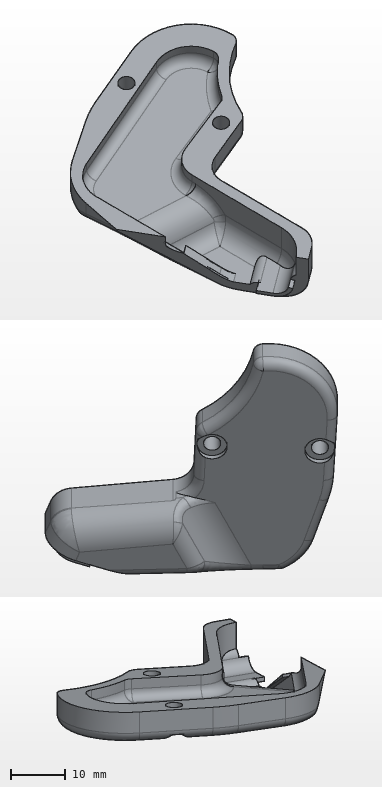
import cadquery as cq
import math

shell_depth = 5.95
spout_depth = 12.0
pocket_depth = 3.95
channel_depth = 9.9
shell_fillet = 1.9
pocket_fillet = 2.0
spout_fillet = spout_depth - shell_depth - 0.05
channel_fillet = 3.95

mouth_start = (33.55, 0.65)
mouth_end = (60.65, 24.6)
mouth_dx = mouth_end[0] - mouth_start[0]
mouth_dy = mouth_end[1] - mouth_start[1]
mouth_length = math.hypot(mouth_dx, mouth_dy)
along = (mouth_dx / mouth_length, mouth_dy / mouth_length)
outward = (along[1], -along[0])

lobe_center = (12.6, 33.85)
lobe_radius = 12.6
lobe_pocket_radius = 7.3
lobe_start = 204.5
lobe_middle = 150
shell_tip_angle = 99.4
pocket_tip_angle = 97.5
outer_end_corner = (56.75, 29.0)
outer_end_radius = 4.55

spout_angle = 15.4
spout_facing = (-math.sin(math.radians(spout_angle)), math.cos(math.radians(spout_angle)))
channel_slope = (spout_angle, 1.5)
outer_slope = (20.0, 1.52)
outer_slope_foot = 21.0
pocket_low_end = 9.3
channel_slope_foot = 22.1
step_tilt = 3.4
step_y = 8.5
outer_step_start, outer_step_end, outer_step_radius = 28.4, 37.55, 6.7
inner_step_start, inner_step_end, inner_step_radius = 31.7, 41.2, 6.3

hole_centers = [(24.8, 31.55), (6.7, 23.35)]
hole_diameter = 3.15
head_diameter = 5.6
head_seat_depth = 4.9

channel_wall = 33.85
lip_reach = 2.0
lip_thickness = 1.0
lip_clearance = 0.1
lip_radius = channel_fillet - lip_thickness
lip_floor_end = 26.75
lip_end_angle = -12
lip_mid_angle = (lip_end_angle - 90) / 2
pad_length = 7.9
pad_floor_end = 25.2
pad_round_run = 1.95
pad_round_mid = (25.95, 0.7 - channel_depth)
pad_wall_end = -5.1

seat_top = (12.7, -3.95)
seat_bend = (19.4, -8.75)
seat_toe = channel_slope_foot
seat_room = 2.4

overlap = 0.6
pocket_overrun = 2.4
plan_tolerance = 0.05
reach = 121.3


def round_upright(body, corner, radius):
    """Round the upright edge at a plan corner."""
    x, y = corner
    low = (x - plan_tolerance, y - plan_tolerance, -reach)
    high = (x + plan_tolerance, y + plan_tolerance, reach)
    nearby = cq.selectors.BoxSelector(low, high)
    return body.edges("|Z").edges(nearby).fillet(radius)


def rounded_prism(outline, depth, corner_radii):
    """Prism below Z = 0 whose upright edges at the given corners are rounded."""
    body = outline.close().extrude(-depth)
    for corner, radius in corner_radii:
        body = round_upright(body, corner, radius)
    return body


def lobe_point(radius, degrees):
    """Plan point on a circle about the lobe centre."""
    angle = math.radians(degrees)
    return (lobe_center[0] + radius * math.cos(angle), lobe_center[1] + radius * math.sin(angle))


def shell_prism(depth):
    tip = lobe_point(lobe_radius, shell_tip_angle)
    heel, bend = (19.15, -0.5), (7.9, 13.75)
    neck_middle, shoulder, elbow = (17.35, 39.1), (26.2, 35.9), (32.25, 22.2)
    outline = (
        cq.Workplane("XY")
        .moveTo(*mouth_start)
        .lineTo(*heel)
        .lineTo(*bend)
        .lineTo(*lobe_point(lobe_radius, lobe_start))
        .threePointArc(lobe_point(lobe_radius, lobe_middle), tip)
        .threePointArc(neck_middle, shoulder)
        .lineTo(*elbow)
        .lineTo(*outer_end_corner)
        .lineTo(*mouth_end)
    )
    corner_radii = [
        (heel, 11.2),
        (bend, 20.6),
        (tip, 1.95),
        (shoulder, 2.4),
        (elbow, 4.35),
        (outer_end_corner, outer_end_radius),
    ]
    return rounded_prism(outline, depth, corner_radii)


def pocket_prism(depth):
    """The pocket runs past the mouth plane so that the mouth is open."""
    low_x, low_y = along_mouth(pocket_low_end)
    high_x, high_y = along_mouth(channel_wall)
    low_end = (low_x + pocket_overrun * spout_facing[1], low_y - pocket_overrun * spout_facing[0])
    high_end = (high_x + pocket_overrun * outward[0], high_y + pocket_overrun * outward[1])
    heel, tip = (19.9, 1.05), lobe_point(lobe_pocket_radius, pocket_tip_angle)
    neck_middle, shoulder = (15.65, 37.6), (20.4, 35.3)
    elbow, end_corner = (27.5, 18.55), (55.9, 26.4)
    outline = (
        cq.Workplane("XY")
        .moveTo(*low_end)
        .lineTo(*heel)
        .lineTo(*lobe_point(lobe_pocket_radius, lobe_start))
        .threePointArc(lobe_point(lobe_pocket_radius, lobe_middle), tip)
        .threePointArc(neck_middle, shoulder)
        .lineTo(*elbow)
        .lineTo(*end_corner)
        .lineTo(*high_end)
    )
    corner_radii = [(heel, 6.3), (tip, 2.05), (shoulder, 2.05), (elbow, 4.85), (end_corner, 7.1)]
    return rounded_prism(outline, depth, corner_radii)


def mouth_plane():
    """Local X runs along the mouth, local Y is up, the normal points out of the mouth."""
    return cq.Workplane(cq.Plane((*mouth_start, 0), (*along, 0), (*outward, 0)))


def along_mouth(distance):
    """Plan point at a distance along the mouth."""
    return (mouth_start[0] + distance * along[0], mouth_start[1] + distance * along[1])


def slope_normal(slope):
    angle = math.radians(slope[0])
    return (-slope[1] * math.sin(angle), slope[1] * math.cos(angle), 1)


def above_slope(slope, foot, depth):
    """Everything on the upper side of the sloped plane through the foot point."""
    angle = math.radians(slope[0])
    foot_point = (*along_mouth(foot), -depth)
    run = (math.cos(angle), math.sin(angle), 0)
    return cq.Workplane(cq.Plane(foot_point, run, slope_normal(slope))).rect(reach, reach).extrude(reach)


def slope_faces(body, slope):
    return body.faces(cq.selectors.ParallelDirSelector(cq.Vector(*slope_normal(slope))))


def above_step(start, end, high, low, high_radius):
    """Everything right of and above an S-shaped step of two tangent arcs."""
    length = end - start
    drop = low - high
    turn = 2 * math.atan2(drop, length)
    low_radius = length / math.sin(turn) - high_radius
    half = turn / 2
    high_mid = (start + high_radius * math.sin(half), -high - high_radius * (1 - math.cos(half)))
    joint = (start + high_radius * math.sin(turn), -high - high_radius * (1 - math.cos(turn)))
    low_mid = (end - low_radius * math.sin(half), -low + low_radius * (1 - math.cos(half)))
    return (
        cq.Workplane("XZ")
        .moveTo(start, 0)
        .lineTo(start, -high)
        .threePointArc(high_mid, joint)
        .threePointArc(low_mid, (end, -low))
        .lineTo(reach, -low)
        .lineTo(reach, 0)
        .close()
        .extrude(reach, both=True)
        .rotate((start, step_y, 0), (start, step_y, 1), -step_tilt)
    )


def plan_middle(edge):
    return edge.positionAt(0.5).toTuple()[:2]


def bottom_fillet(body, radius, wanted):
    """Round the bottom edges whose middle point passes the test."""
    return body.faces("<Z").edges().filter(lambda edge: wanted(*plan_middle(edge))).fillet(radius)


def mouth_distance(x, y):
    """Plan distance in front of the mouth plane."""
    return (x - mouth_start[0]) * outward[0] + (y - mouth_start[1]) * outward[1]


def inside_wall(corner, facing):
    """Everything behind an upright wall through a corner, its bottom edge rounded."""
    wall = cq.Plane((*corner, 0), (*facing, 0), (facing[1], -facing[0], 0))
    return (
        cq.Workplane(wall)
        .lineTo(0, spout_fillet - spout_depth)
        .tangentArcPoint((-spout_fillet, -spout_depth), relative=False)
        .lineTo(-reach, -spout_depth)
        .lineTo(-reach, 0)
        .close()
        .extrude(reach, both=True)
    )


def spout():
    left = outer_step_start - overlap
    outline = (
        cq.Workplane("XY")
        .moveTo(*mouth_start)
        .lineTo(left, mouth_start[1])
        .lineTo(left, outer_end_corner[1])
        .lineTo(*outer_end_corner)
        .lineTo(*mouth_end)
    )
    body = outline.close().extrude(-spout_depth)
    body = body.intersect(inside_wall(outer_end_corner, spout_facing))
    body = body.intersect(inside_wall(mouth_end, along))
    body = round_upright(body, outer_end_corner, outer_end_radius)
    step = above_step(outer_step_start, outer_step_end, shell_depth, spout_depth, outer_step_radius)
    body = body.intersect(step)
    step_rim = body.edges("%BSPLINE").filter(lambda edge: edge.Center().x < outer_step_end)
    return step_rim.fillet(shell_fillet).intersect(shell_prism(spout_depth))


def outer_body():
    shell = shell_prism(shell_depth)
    shell = bottom_fillet(shell, shell_fillet, lambda x, y: mouth_distance(x, y) < -plan_tolerance)
    body = shell.union(spout()).intersect(above_slope(outer_slope, outer_slope_foot, spout_depth))
    slope_edges = (
        slope_faces(body, outer_slope).edges()
        .filter(lambda edge: mouth_distance(*plan_middle(edge)) < -plan_tolerance)
    )
    return slope_edges.fillet(shell_fillet)


def channel():
    body = pocket_prism(channel_depth)
    wall_start_x, wall_start_y = 33.35, 18.2
    body = bottom_fillet(
        body,
        channel_fillet,
        lambda x, y: x > wall_start_x and y > wall_start_y and mouth_distance(x, y) < overlap,
    )
    step = above_step(inner_step_start, inner_step_end, pocket_depth, channel_depth, inner_step_radius)
    body = body.intersect(step).intersect(above_slope(channel_slope, channel_slope_foot, channel_depth))
    step_rim = body.edges("%BSPLINE").filter(lambda edge: edge.Center().x < inner_step_end)
    return step_rim.fillet(pocket_fillet)


def pocket():
    body = pocket_prism(pocket_depth)
    return bottom_fillet(body, pocket_fillet, lambda x, y: mouth_distance(x, y) < overlap)


def channel_corner(radius, degrees):
    """Mouth point on an arc about the centre of the rounding between channel floor and wall."""
    angle = math.radians(degrees)
    center = (channel_wall - channel_fillet, channel_fillet - channel_depth)
    return (center[0] + radius * math.cos(angle), center[1] + radius * math.sin(angle))


def mouth_slab(profile, back, front):
    """Extrude a mouth profile from behind the mouth plane to in front of it."""
    return profile.extrude(front + back).translate((-back * outward[0], -back * outward[1], 0))


def pad():
    """Raised layer on the channel floor and wall with rounded ends."""
    layer_top = lip_thickness - channel_depth
    buried = channel_depth + overlap
    profile = (
        mouth_plane()
        .moveTo(channel_wall + overlap, pad_wall_end)
        .lineTo(channel_wall + overlap, -buried)
        .lineTo(pad_floor_end, -buried)
        .lineTo(pad_floor_end, -channel_depth)
        .threePointArc(pad_round_mid, (pad_floor_end + pad_round_run, layer_top))
        .lineTo(*channel_corner(lip_radius, -90))
        .threePointArc(channel_corner(lip_radius, lip_mid_angle), channel_corner(lip_radius, lip_end_angle))
        .tangentArcPoint((channel_wall, pad_wall_end), relative=False)
        .close()
    )
    return mouth_slab(profile, pad_length, 0)


def lip():
    """Tongue that carries the pad on past the mouth, clear of the floor and wall."""
    outer_radius = channel_fillet - lip_clearance
    outer_middle = channel_corner(outer_radius, lip_mid_angle)
    outer_end = channel_corner(outer_radius, lip_end_angle)
    profile = (
        mouth_plane()
        .moveTo(lip_floor_end, lip_clearance - channel_depth)
        .lineTo(*channel_corner(outer_radius, -90))
        .threePointArc(outer_middle, outer_end)
        .lineTo(*channel_corner(lip_radius, lip_end_angle))
        .threePointArc(channel_corner(lip_radius, lip_mid_angle), channel_corner(lip_radius, -90))
        .lineTo(lip_floor_end, lip_thickness - channel_depth)
        .close()
    )
    return mouth_slab(profile, overlap, lip_reach)


def seat_profile(height):
    """Mouth profile from the seat surface up, or down for a negative height."""
    return (
        mouth_plane()
        .moveTo(seat_top[0], seat_top[1] + height)
        .lineTo(*seat_top)
        .lineTo(*seat_bend)
        .tangentArcPoint((seat_toe, -channel_depth), relative=False)
        .lineTo(seat_toe, height - channel_depth)
        .close()
    )


def screw_holes():
    holes = cq.Workplane("XY").pushPoints(hole_centers).circle(hole_diameter / 2).extrude(-shell_depth)
    heads = (
        cq.Workplane("XY", origin=(0, 0, -head_seat_depth))
        .pushPoints(hole_centers)
        .circle(head_diameter / 2)
        .extrude(-shell_depth)
    )
    return holes.union(heads)


outer = outer_body()
result = outer.cut(pocket()).cut(channel())
result = result.union(pad().intersect(outer)).union(lip())
result = result.cut(mouth_slab(seat_profile(seat_room), lip_reach, overlap))
result = result.union(mouth_slab(seat_profile(-overlap), lip_reach, 0).intersect(outer))
result = result.cut(screw_holes())